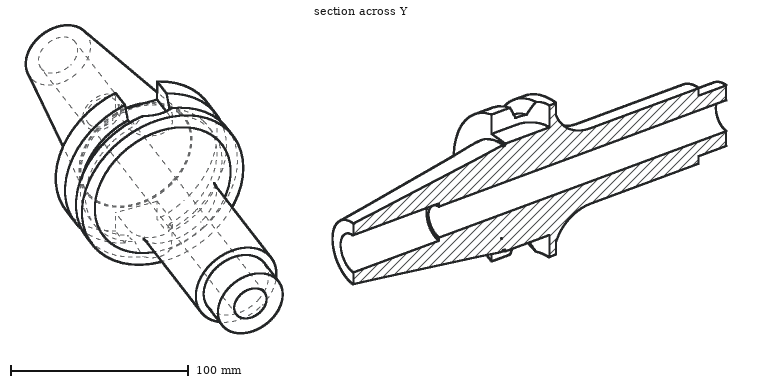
import cadquery as cq

total_length = 257.7
taper_length = 102.0
collar_end = 103.5
flange_start = 105.0
flange_width = 35.3
fillet_end = 164.0
shank_end = 238.6

taper_small_radius = 20.0
taper_large_radius = 35.0
neck_radius = 34.3
flange_radius = 50.0
shank_radius = 25.0
tip_radius = 20.0
fillet_radius = 25.0

groove_start = 12.5
groove_floor_start = 16.5
groove_floor_end = 23.2
groove_end = 27.3
groove_radius = 42.3

slot_width = 25.8
slot_length = 30.5
slot_floor_radius = 35.5

bore_radius = 10.0
counterbore_radius = 12.0
counterbore_depth = 59.3

flange_end = flange_start + flange_width


def fillet_height(x):
    """Radius of the concave fillet, tangent to the shank, at station x."""
    rise = fillet_radius - (fillet_radius**2 - (fillet_end - x) ** 2) ** 0.5
    return shank_radius + rise


def turned_body():
    """Taper, grooved flange, shank and tip revolved about X."""
    fillet_middle = (flange_end + fillet_end) / 2
    outline = (
        cq.Workplane("XY")
        .moveTo(0, 0)
        .lineTo(0, taper_small_radius)
        .lineTo(taper_length, taper_large_radius)
        .lineTo(collar_end, taper_large_radius)
        .lineTo(collar_end, neck_radius)
        .lineTo(flange_start, neck_radius)
        .lineTo(flange_start, flange_radius)
        .lineTo(flange_start + groove_start, flange_radius)
        .lineTo(flange_start + groove_floor_start, groove_radius)
        .lineTo(flange_start + groove_floor_end, groove_radius)
        .lineTo(flange_start + groove_end, flange_radius)
        .lineTo(flange_end, flange_radius)
        .lineTo(flange_end, fillet_height(flange_end))
        .threePointArc((fillet_middle, fillet_height(fillet_middle)), (fillet_end, shank_radius))
        .lineTo(shank_end, shank_radius)
        .lineTo(shank_end, tip_radius)
        .lineTo(total_length, tip_radius)
        .lineTo(total_length, 0)
        .close()
    )
    return outline.revolve(360, (0, 0, 0), (1, 0, 0))


def drive_slot():
    """Cutter for the upper slot: open at the flange face, with a round inner end."""
    half_width = slot_width / 2
    slot_end = flange_start + slot_length
    arc_start = slot_end - half_width
    return (
        cq.Workplane("XY", origin=(0, 0, slot_floor_radius))
        .moveTo(flange_start, -half_width)
        .lineTo(arc_start, -half_width)
        .threePointArc((slot_end, 0), (arc_start, half_width))
        .lineTo(flange_start, half_width)
        .close()
        .extrude(flange_radius)
    )


def axial_hole():
    """Through bore with a counterbore at the small end of the taper."""
    bore = cq.Workplane("YZ").circle(bore_radius).extrude(total_length)
    counterbore = cq.Workplane("YZ").circle(counterbore_radius).extrude(counterbore_depth)
    return bore.union(counterbore)


result = turned_body().cut(axial_hole())
for side_angle in (0, 180):
    result = result.cut(drive_slot().rotate((0, 0, 0), (1, 0, 0), side_angle))